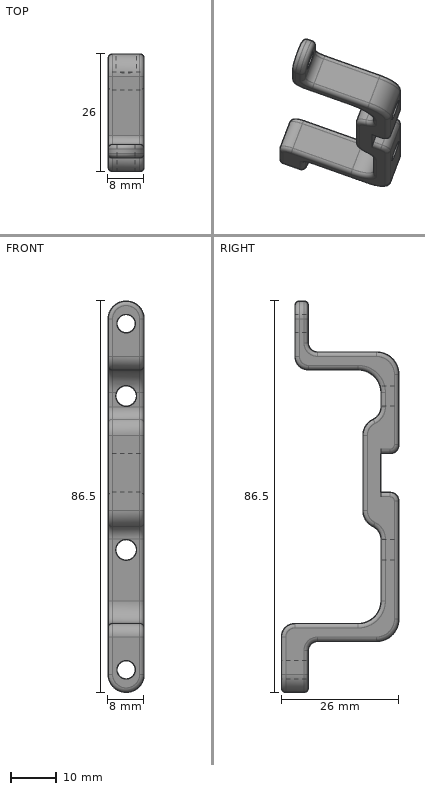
import cadquery as cq
import math

width = 8.0
height = 86.47
thickness = 4.0
arm_outer_z = 32.0
arm_inner_z = arm_outer_z - thickness
top_z = height / 2

web_front_y = -thickness
tab_back_y = -20.0
top_tab_thickness = 3.0
bottom_tab_thickness = 6.0
top_tab_front_y = tab_back_y - top_tab_thickness
bottom_tab_front_y = tab_back_y - bottom_tab_thickness

web_radius = 5.0
tab_inner_radius = 2.0
tab_outer_radius = 3.0
edge_radius = 1.0

block_center_z = 5.25
block_flat_length = 16.5
block_front_y = -8.0
block_root_radius = 3.0
block_nose_radius = 4.0
notch_width = 8.5
notch_floor_y = -4.0
notch_lip_radius = 2.0

tab_hole_diameter = 4.0
tab_hole_inset = 5.0
tab_hole_z = top_z - tab_hole_inset
web_hole_diameter = 4.5
web_hole_spacing = 34.0

block_rise = web_front_y - block_front_y
flank_angle = math.acos(1 - block_rise / (block_root_radius + block_nose_radius))
root_length = block_root_radius * math.sin(flank_angle)
nose_length = block_nose_radius * math.sin(flank_angle)
flank_y = web_front_y - block_root_radius * (1 - math.cos(flank_angle))


def add_bend(outline, y, z):
    """Continue the outline with an arc tangent to its last piece."""
    return outline.tangentArcPoint((y, z), relative=False)


def make_profile():
    """Side outline of the bracket in the YZ plane, extruded across the width."""
    block_top = block_center_z + block_flat_length / 2
    block_bottom = block_center_z - block_flat_length / 2
    notch_top = block_center_z + notch_width / 2
    notch_bottom = block_center_z - notch_width / 2

    p = cq.Workplane("YZ").moveTo(tab_back_y, top_z).lineTo(top_tab_front_y, top_z)
    p = p.lineTo(top_tab_front_y, arm_inner_z + tab_outer_radius)
    p = add_bend(p, top_tab_front_y + tab_outer_radius, arm_inner_z)
    p = p.lineTo(web_front_y - web_radius, arm_inner_z)
    p = add_bend(p, web_front_y, arm_inner_z - web_radius)
    p = p.lineTo(web_front_y, block_top + nose_length + root_length)
    p = add_bend(p, flank_y, block_top + nose_length)
    p = add_bend(p, block_front_y, block_top)
    p = p.lineTo(block_front_y, block_bottom)
    p = add_bend(p, flank_y, block_bottom - nose_length)
    p = add_bend(p, web_front_y, block_bottom - nose_length - root_length)
    p = p.lineTo(web_front_y, -arm_inner_z + web_radius)
    p = add_bend(p, web_front_y - web_radius, -arm_inner_z)
    p = p.lineTo(bottom_tab_front_y + tab_outer_radius, -arm_inner_z)
    p = add_bend(p, bottom_tab_front_y, -arm_inner_z - tab_outer_radius)
    p = p.lineTo(bottom_tab_front_y, -top_z).lineTo(tab_back_y, -top_z)

    p = p.lineTo(tab_back_y, -arm_outer_z - tab_inner_radius)
    p = add_bend(p, tab_back_y + tab_inner_radius, -arm_outer_z)
    p = p.lineTo(-web_radius, -arm_outer_z)
    p = add_bend(p, 0, -arm_outer_z + web_radius)
    p = p.lineTo(0, notch_bottom - notch_lip_radius)
    p = add_bend(p, -notch_lip_radius, notch_bottom)
    p = p.lineTo(notch_floor_y, notch_bottom).lineTo(notch_floor_y, notch_top)
    p = p.lineTo(-notch_lip_radius, notch_top)
    p = add_bend(p, 0, notch_top + notch_lip_radius)
    p = p.lineTo(0, arm_outer_z - web_radius)
    p = add_bend(p, -web_radius, arm_outer_z)
    p = p.lineTo(tab_back_y + tab_inner_radius, arm_outer_z)
    p = add_bend(p, tab_back_y, arm_outer_z + tab_inner_radius)
    return p.close().extrude(width / 2, both=True)


def round_tab_ends(body):
    """Trim both tab ends to full half-rounds as wide as the part."""
    envelope = cq.Workplane("XZ").slot2D(height, width, 90).extrude(-bottom_tab_front_y)
    return body.intersect(envelope)


def is_rounded_edge(edge):
    """True for the rim of the two sides, except on the sharp notch floor."""
    box = edge.BoundingBox()
    center = edge.Center()
    tolerance = 0.001
    runs_across = edge.geomType() == "LINE" and box.xlen > tolerance
    end_round_seam = abs(abs(center.z) - (top_z - width / 2)) < tolerance
    on_notch_floor = box.ylen < tolerance and abs(center.y - notch_floor_y) < tolerance
    return not (runs_across or end_round_seam or on_notch_floor)


def round_edges(body):
    rim = [edge for edge in body.edges().vals() if is_rounded_edge(edge)]
    return body.newObject(rim).fillet(edge_radius)


def drill_holes(body):
    """Two holes through the tabs and two through the web, all along Y."""
    tab_holes = [(0, tab_hole_z), (0, -tab_hole_z)]
    web_holes = [(0, block_center_z + side * web_hole_spacing / 2) for side in (1, -1)]
    for places, diameter in ((tab_holes, tab_hole_diameter), (web_holes, web_hole_diameter)):
        drills = cq.Workplane("XZ").pushPoints(places).circle(diameter / 2).extrude(-bottom_tab_front_y)
        body = body.cut(drills)
    return body


result = drill_holes(round_edges(round_tab_ends(make_profile())))